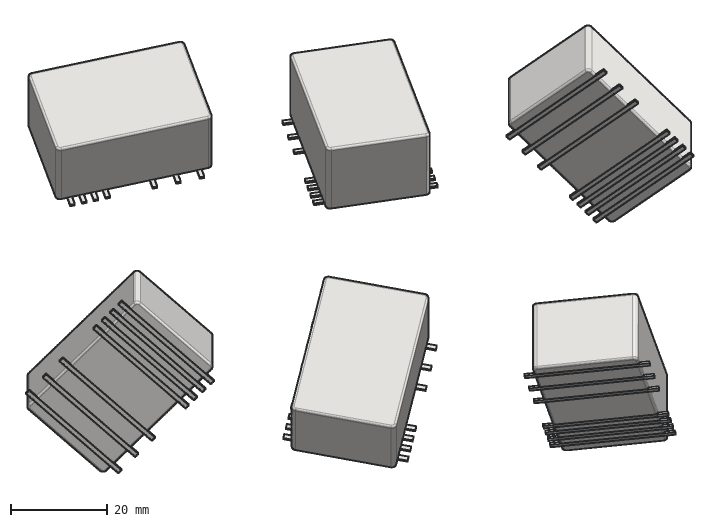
import cadquery as cq

body_width = 22.25
body_length = 33.7
total_height = 16.1
standoff = 0.1
corner_radius = 1.0
rim_radius = 0.5

lead_span = 26.4
lead_width = 1.0
lead_thickness = 0.5
row_length = 27.95
row_steps = 11
lead_pitch = row_length / row_steps
lead_slots = [0, 1, 2, 3, 7, 9, 11]


def make_body():
    """Box with rounded vertical corners and smaller rounded top and bottom rims."""
    return (
        cq.Workplane("XY")
        .workplane(offset=standoff)
        .rect(body_width, body_length)
        .extrude(total_height - standoff)
        .edges("|Z")
        .fillet(corner_radius)
        .faces("<Z or >Z")
        .edges()
        .fillet(rim_radius)
    )


def make_leads():
    """Flat bars crossing under the body, each forming a pair of opposite leads."""
    centres = [(0, slot * lead_pitch - row_length / 2) for slot in lead_slots]
    return (
        cq.Workplane("XY")
        .pushPoints(centres)
        .rect(lead_span, lead_width)
        .extrude(lead_thickness)
    )


result = make_body().union(make_leads())